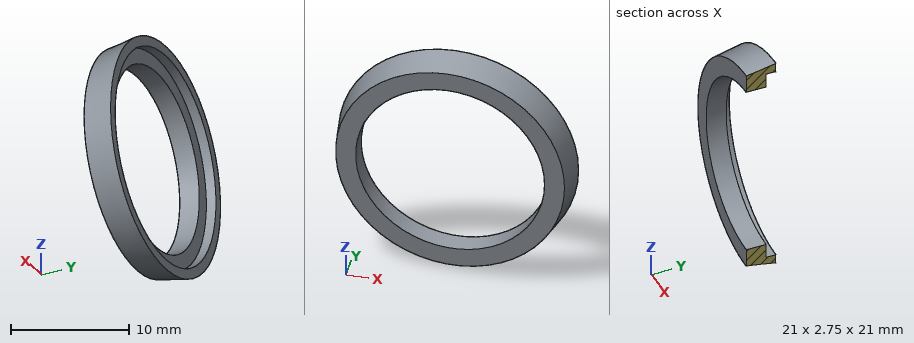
import cadquery as cq

large_diameter = 21.0
small_diameter = 20.0
bore_diameter = 16.5
ring_width = 2.75
recess_depth = 0.9
rim_thickness = 0.9

large_radius = large_diameter / 2
small_radius = small_diameter / 2
bore_radius = bore_diameter / 2
recess_radius = large_radius - rim_thickness
front_y = -ring_width / 2
back_y = ring_width / 2
recess_floor_y = back_y - recess_depth


def tapered_ring():
    """Ring about the Y axis: outer wall narrows toward -Y, bore is counterbored from +Y."""
    section = (
        cq.Workplane("XY")
        .moveTo(bore_radius, front_y)
        .lineTo(small_radius, front_y)
        .lineTo(large_radius, back_y)
        .lineTo(recess_radius, back_y)
        .lineTo(recess_radius, recess_floor_y)
        .lineTo(bore_radius, recess_floor_y)
        .close()
    )
    return section.revolve(360, (0, 0, 0), (0, 1, 0))


result = tapered_ring()